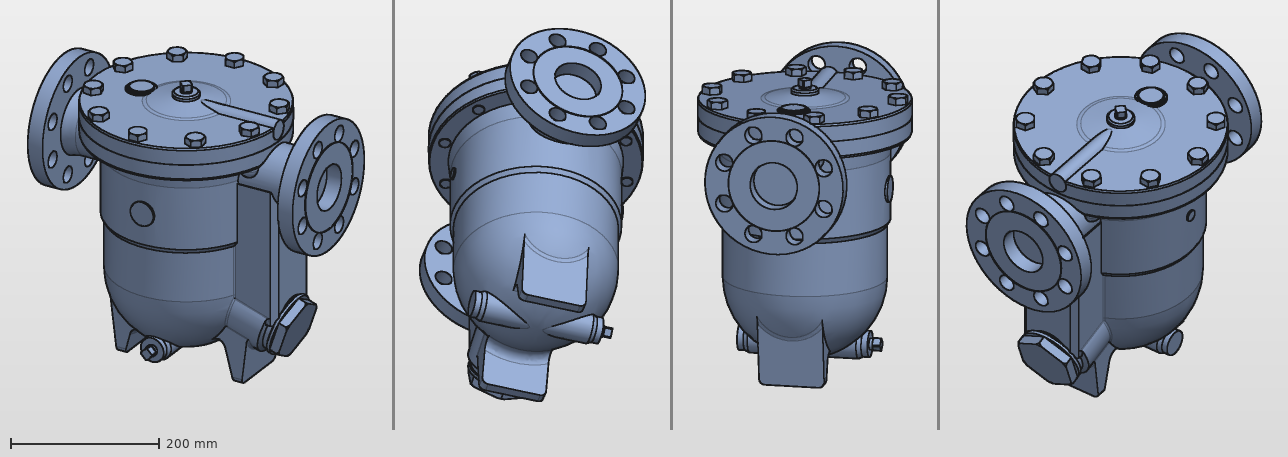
import cadquery as cq
import math

overall_length = 417.0
center_x = 15.5

body_radius = 115.7
lower_body_radius = 111.5
dome_center_z = 133.5
step_bottom_z = 207.0
step_top_z = 214.0
neck_bottom_z = 307.5
neck_top_radius = 118.0

cover_radius = 144.9
body_flange_radius = 144.5
body_flange_bottom_z = 332.5
split_z = 356.5
cover_top_z = 381.0
rim_chamfer_width = 1.3
rim_chamfer_height = 3.0
relief_start_z = 352.5
relief_depth = 8.0

pipe_z = 307.0
pipe_radius = 44.0
pipe_flange_radius = 95.5
pipe_flange_thickness = 23.5
raised_face_radius = 62.75
raised_face_height = 1.3
bore_radius = 32.5
bore_depth = 23.0
hub_radius = 47.5
hub_length = 21.0
pipe_hole_count = 8
pipe_hole_diameter = 23.5
pipe_hole_circle_radius = 74.2

bolt_count = 10
bolt_circle_radius = 128.5
bolt_across_flats = 24.0
bolt_head_height = 10.0
bolt_chamfer = 1.5
bolt_end_radius = 8.0
bolt_end_length = 1.5
stud_pad_radius = 13.5
stud_pad_dome_z = 327.8
stud_pad_angles = (18, 162, 198, 342)

cover_cone_base_radius = 59.5
cover_cone_edge_radius = 54.2
cover_cone_edge_z = 382.5
plug_boss_radius = 18.8
plug_boss_bottom_z = 388.5
plug_boss_top_z = 395.0
plug_boss_chamfer = 2.5
plug_neck_radius = 8.0
plug_neck_length = 2.5
plug_side = 13.8
plug_corner_diameter = 17.5
overall_height = 407.0

rib_radius = 13.95
rib_top_z = 388.0
cover_pad_x = -69.5
cover_pad_radius = 18.0
cover_pad_root_radius = 22.0
cover_pad_height = 4.0
cover_pad_root_height = 1.5
cover_pad_chamfer = 1.3

front_pad_radius = 18.0
front_pad_z = 260.5
rear_pad_radius = 8.0
rear_pad_z = 277.7
pad_height = 2.0

block_outer_x = 167.0
block_half_width = 45.0
block_top_z = 302.0
block_bottom_z = 100.0
block_bevel_width = 8.5
block_bevel_height = 16.0

outlet_angle = 18.5
outlet_axis_z = 137.5
outlet_radius = 51.0
outlet_length = 153.5
outlet_chamfer_length = 3.5
outlet_neck_radius = 43.5
washer_radius = 46.0
washer_start = 165.0
nut_start = 170.0
nut_end = 184.5
nut_across_corners = 92.5
nut_chamfer = 2.5

foot_half_width = 45.0
foot_top_z = 96.0
foot_corner_radius = 8.5
foot_outer_bottom = 97.5
foot_outer_top = 109.3
foot_inner_bottom = 85.0
foot_inner_slope = 0.26
foot_fillet_radius = 12.5

joint_fillet_radius = 3.0
joint_tolerance = 0.005

drain_z = 43.5
drain_radius = 21.0
drain_half_length = 75.0
drain_face = 81.5
drain_plug_radius = 18.0
drain_plug_face = 90.0
drain_neck_length = 4.5
drain_head_end = 105.5


def hexagon(across_flats, height, chamfer):
    """Hexagon prism on z = 0 with the corners of its top chamfered."""
    across_corners = across_flats / math.cos(math.pi / 6)
    prism = cq.Workplane("XY").polygon(6, across_corners).extrude(height)
    envelope = cq.Workplane("XY").circle(across_corners / 2).extrude(height)
    return prism.intersect(envelope.faces(">Z").chamfer(chamfer))


def square_head(height):
    """Square plug head on z = 0, corner towards X, with rounded corners."""
    head = cq.Workplane("XY").rect(plug_side, plug_side).extrude(height)
    head = head.rotate((0, 0, 0), (0, 0, 1), 45)
    return head.intersect(cq.Workplane("XY").circle(plug_corner_diameter / 2).extrude(height))


def disc(radius, bottom_z, top_z):
    return cq.Workplane("XY").workplane(offset=bottom_z).circle(radius).extrude(top_z - bottom_z)


def make_body():
    profile = (
        cq.Workplane("YZ")
        .moveTo(0, dome_center_z - lower_body_radius)
        .radiusArc((lower_body_radius, dome_center_z), -lower_body_radius)
        .lineTo(lower_body_radius, step_bottom_z)
        .lineTo(body_radius, step_top_z)
        .lineTo(body_radius, neck_bottom_z)
        .lineTo(neck_top_radius, body_flange_bottom_z)
        .lineTo(neck_top_radius, split_z)
        .lineTo(0, split_z)
        .close()
    )
    return profile.revolve(360, (0, 0, 0), (0, 1, 0))


def make_body_flange():
    """Body flange, its lower edge rounded off at the two pipe sides."""
    flange = disc(body_flange_radius, body_flange_bottom_z, split_z)
    flange = flange.faces("<Z").chamfer(rim_chamfer_height, rim_chamfer_width)
    bottom_x = cover_radius - relief_depth
    rounding = 2 * (relief_start_z - body_flange_bottom_z)
    relief = (
        cq.Workplane("XZ")
        .moveTo(-bottom_x, body_flange_bottom_z)
        .lineTo(bottom_x, body_flange_bottom_z)
        .radiusArc((cover_radius, relief_start_z), -rounding)
        .lineTo(cover_radius, split_z)
        .lineTo(-cover_radius, split_z)
        .lineTo(-cover_radius, relief_start_z)
        .radiusArc((-bottom_x, body_flange_bottom_z), -rounding)
        .close()
        .extrude(cover_radius, both=True)
    )
    return flange.intersect(relief)


def make_cover():
    cover = disc(cover_radius, split_z, cover_top_z)
    cover = cover.faces(">Z").chamfer(rim_chamfer_height, rim_chamfer_width)
    cone = (
        cq.Workplane("XZ")
        .moveTo(0, split_z)
        .lineTo(cover_cone_base_radius, split_z)
        .lineTo(cover_cone_base_radius, cover_top_z)
        .lineTo(cover_cone_edge_radius, cover_cone_edge_z)
        .lineTo(plug_boss_radius, plug_boss_bottom_z)
        .lineTo(0, plug_boss_bottom_z)
        .close()
        .revolve(360, (0, 0, 0), (0, 1, 0))
    )
    boss = disc(plug_boss_radius, split_z, plug_boss_top_z).faces(">Z").chamfer(plug_boss_chamfer)
    head_bottom_z = plug_boss_top_z + plug_neck_length
    neck = disc(plug_neck_radius, split_z, head_bottom_z)
    head = square_head(overall_height - head_bottom_z).translate((0, 0, head_bottom_z))
    rib = (
        cq.Workplane("YZ")
        .center(0, rib_top_z - rib_radius)
        .circle(rib_radius)
        .extrude(cover_radius)
    )
    pad = disc(cover_pad_radius, split_z, cover_top_z + cover_pad_height)
    pad = pad.faces(">Z").chamfer(cover_pad_chamfer)
    root_bottom_z = cover_top_z - cover_pad_root_height
    pad_root = cq.Workplane(
        cq.Solid.makeCone(
            cover_pad_root_radius + cover_pad_root_height,
            cover_pad_root_radius - cover_pad_root_height,
            2 * cover_pad_root_height,
            cq.Vector(0, 0, root_bottom_z),
        )
    )
    pad = pad.union(pad_root).translate((cover_pad_x, 0, 0))
    return cover.union(cone).union(boss).union(neck).union(head).union(rib).union(pad)


def make_cover_bolts():
    bolt = hexagon(bolt_across_flats, bolt_head_height, bolt_chamfer).translate((0, 0, cover_top_z))
    bolt = bolt.union(disc(bolt_end_radius, body_flange_bottom_z - bolt_end_length, cover_top_z))
    bolt = bolt.rotate((0, 0, 0), (0, 0, 1), 90).translate((bolt_circle_radius, 0, 0))
    stud_pad = disc(stud_pad_radius, stud_pad_dome_z, split_z)
    stud_pad = stud_pad.union(
        cq.Workplane("XY").sphere(stud_pad_radius).translate((0, 0, stud_pad_dome_z))
    )
    stud_pad = stud_pad.translate((bolt_circle_radius, 0, 0))
    pitch = 360 / bolt_count
    bolts = cq.Workplane("XY")
    for index in range(bolt_count):
        bolts = bolts.add(bolt.rotate((0, 0, 0), (0, 0, 1), 90 + index * pitch))
    for angle in stud_pad_angles:
        bolts = bolts.add(stud_pad.rotate((0, 0, 0), (0, 0, 1), angle))
    return bolts.combine()


def make_pipe():
    """One pipe with its flange, running from the middle of the body to +X."""
    face_x = overall_length / 2
    rim_x = face_x - raised_face_height
    back_x = rim_x - pipe_flange_thickness
    profile = (
        cq.Workplane("XZ")
        .moveTo(0, 0)
        .lineTo(0, pipe_radius)
        .lineTo(back_x - hub_length, pipe_radius)
        .tangentArcPoint((back_x, hub_radius), relative=False)
        .lineTo(back_x, pipe_flange_radius)
        .lineTo(rim_x, pipe_flange_radius)
        .lineTo(rim_x, raised_face_radius)
        .lineTo(face_x, raised_face_radius)
        .lineTo(face_x, 0)
        .close()
    )
    pipe = profile.revolve(360, (0, 0, 0), (1, 0, 0))
    holes = (
        cq.Workplane("YZ")
        .workplane(offset=back_x)
        .polarArray(pipe_hole_circle_radius, 180 / pipe_hole_count, 360, pipe_hole_count)
        .circle(pipe_hole_diameter / 2)
        .extrude(pipe_flange_thickness)
    )
    return pipe.cut(holes)


def make_pipe_bore():
    start_x = overall_length / 2 - bore_depth
    return cq.Workplane("YZ").workplane(offset=start_x).circle(bore_radius).extrude(bore_depth)


def both_pipe_ends(feature):
    mirrored = feature.mirror("YZ")
    return feature.union(mirrored).translate((center_x, 0, pipe_z))


def make_side_pads():
    front = (
        cq.Workplane("XZ")
        .center(0, front_pad_z)
        .circle(front_pad_radius)
        .extrude(body_radius + pad_height)
    )
    rear = (
        cq.Workplane("XZ")
        .center(0, rear_pad_z)
        .circle(rear_pad_radius)
        .extrude(-body_radius - pad_height)
    )
    return front.union(rear)


def make_side_block():
    block = (
        cq.Workplane("XZ")
        .moveTo(0, block_bottom_z)
        .lineTo(block_outer_x, block_bottom_z)
        .lineTo(block_outer_x, block_top_z - block_bevel_height)
        .lineTo(block_outer_x - block_bevel_width, block_top_z)
        .lineTo(0, block_top_z)
        .close()
        .extrude(block_half_width, both=True)
    )
    return block.faces(">X").edges("|Z").chamfer(block_bevel_width)


def along_outlet(feature):
    """Turn a feature built along +Z onto the sloping outlet axis."""
    turned = feature.rotate((0, 0, 0), (0, 1, 0), 90 + outlet_angle)
    return turned.translate((0, 0, outlet_axis_z))


def make_outlet_tube():
    return disc(outlet_radius, 0, outlet_length)


def make_outlet_closure():
    """Tapered end, neck, washer and hexagon nut that close the outlet."""
    collar_end = outlet_length + outlet_chamfer_length
    collar = (
        cq.Workplane("XZ")
        .moveTo(0, outlet_length)
        .lineTo(outlet_radius, outlet_length)
        .lineTo(outlet_neck_radius, collar_end)
        .lineTo(outlet_neck_radius, washer_start)
        .lineTo(washer_radius, washer_start)
        .lineTo(washer_radius, nut_start)
        .lineTo(0, nut_start)
        .close()
        .revolve(360, (0, 0, 0), (0, 1, 0))
    )
    nut_across_flats = nut_across_corners * math.cos(math.pi / 6)
    nut = hexagon(nut_across_flats, nut_end - nut_start, nut_chamfer).translate((0, 0, nut_start))
    return collar.union(nut)


def make_foot(side):
    """Foot on the side -1 or +1 of the foot mid-plane, running up into the dome."""
    inner_top = foot_inner_bottom - foot_inner_slope * foot_top_z
    foot = (
        cq.Workplane("XZ")
        .moveTo(center_x + side * foot_outer_bottom, 0)
        .lineTo(center_x + side * foot_outer_top, foot_top_z)
        .lineTo(center_x + side * inner_top, foot_top_z)
        .lineTo(center_x + side * foot_inner_bottom, 0)
        .close()
        .extrude(foot_half_width, both=True)
    )
    ends = cq.Workplane("XY").box(overall_length, 2 * foot_half_width, foot_top_z, (True, True, False))
    return foot.intersect(ends.edges("<Z and |X").fillet(foot_corner_radius))


def make_drain():
    """Cross tube under the dome: blanked at the back, square plug at the front."""
    tube = (
        cq.Workplane("XZ")
        .moveTo(0, -drain_plug_face)
        .lineTo(drain_plug_radius, -drain_plug_face)
        .lineTo(drain_plug_radius, -drain_face)
        .lineTo(drain_radius, -drain_half_length)
        .lineTo(drain_radius, drain_half_length)
        .lineTo(drain_plug_radius, drain_face)
        .lineTo(drain_plug_radius, drain_plug_face)
        .lineTo(0, drain_plug_face)
        .close()
        .revolve(360, (0, 0, 0), (0, 1, 0))
    )
    head_start = drain_plug_face + drain_neck_length
    neck = disc(plug_neck_radius, 0, head_start)
    head = square_head(drain_head_end - head_start).translate((0, 0, head_start))
    drain = tube.union(neck).union(head)
    return drain.rotate((0, 0, 0), (1, 0, 0), 90).translate((0, 0, drain_z))


def joint_edges(joined, first, second):
    """Edges of the joined solid where the surfaces of both parts meet."""
    skins = [part.val().Shells()[0] for part in (first, second)]

    def on_both_skins(edge):
        middle = cq.Vertex.makeVertex(*edge.positionAt(0.5).toTuple())
        return all(skin.distance(middle) < joint_tolerance for skin in skins)

    return [edge for edge in joined.edges().vals() if on_both_skins(edge)]


def join_foot(vessel, side):
    """Join a foot to the dome with its outer and inner faces filleted into it."""
    foot = make_foot(side)
    joined = vessel.union(foot)
    edges = [
        edge
        for edge in joint_edges(joined, vessel, foot)
        if abs(edge.Center().y) < foot_half_width / 2
    ]
    return joined.newObject(edges).fillet(foot_fillet_radius)


def join_block_and_outlet(vessel):
    """Join the side block and outlet, filleted to the body below its step."""
    block = make_side_block()
    outlet = along_outlet(make_outlet_tube())
    vessel_and_block = vessel.union(block)
    joined = vessel_and_block.union(outlet)
    edges = joint_edges(joined, vessel, block) + joint_edges(joined, vessel_and_block, outlet)
    low_edges = [edge for edge in edges if edge.positionAt(0.5).z < step_bottom_z]
    return joined.newObject(low_edges).fillet(joint_fillet_radius)


vessel = make_body()
for side in (-1, 1):
    vessel = join_foot(vessel, side)
vessel = join_block_and_outlet(vessel)

result = (
    vessel
    .union(make_body_flange())
    .union(make_cover())
    .union(make_cover_bolts())
    .union(both_pipe_ends(make_pipe()))
    .union(along_outlet(make_outlet_closure()))
    .union(make_side_pads())
    .union(make_drain())
    .cut(both_pipe_ends(make_pipe_bore()))
)